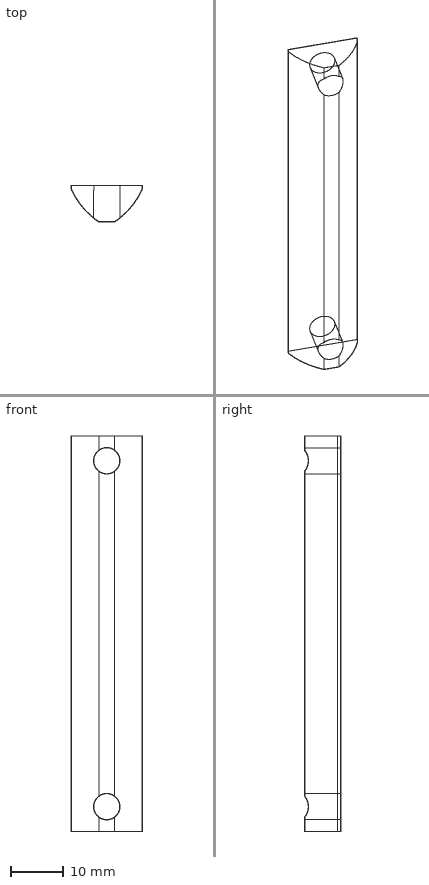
import cadquery as cq
import math

width = 13.7
depth = 7.0
length = 76.0

front_flat_width = 3.0
side_wall_depth = 0.7
flank_radius = 15.0

hole_diameter = 5.0
hole_end_distance = 4.8

back_y = depth / 2
front_y = -depth / 2
shoulder_y = back_y - side_wall_depth


def flank_midpoint():
    """Middle of the bulging arc between the right shoulder and the front flat."""
    run = width / 2 - front_flat_width / 2
    rise = shoulder_y - front_y
    chord = math.hypot(run, rise)
    bulge = flank_radius - math.sqrt(flank_radius**2 - (chord / 2) ** 2)
    chord_x = (width + front_flat_width) / 4
    chord_y = (shoulder_y + front_y) / 2
    return chord_x + bulge * rise / chord, chord_y - bulge * run / chord


def make_bar():
    """Straight bar running along Z, centred on the origin."""
    mid_x, mid_y = flank_midpoint()
    return (
        cq.Workplane("XY")
        .workplane(offset=-length / 2)
        .moveTo(-width / 2, back_y)
        .lineTo(width / 2, back_y)
        .lineTo(width / 2, shoulder_y)
        .threePointArc((mid_x, mid_y), (front_flat_width / 2, front_y))
        .lineTo(-front_flat_width / 2, front_y)
        .threePointArc((-mid_x, mid_y), (-width / 2, shoulder_y))
        .close()
        .extrude(length)
    )


def make_holes():
    """Cylinders along Y, one near each end of the bar."""
    hole_z = length / 2 - hole_end_distance
    return (
        cq.Workplane("XZ")
        .pushPoints([(0, -hole_z), (0, hole_z)])
        .circle(hole_diameter / 2)
        .extrude(depth, both=True)
    )


result = make_bar().cut(make_holes())